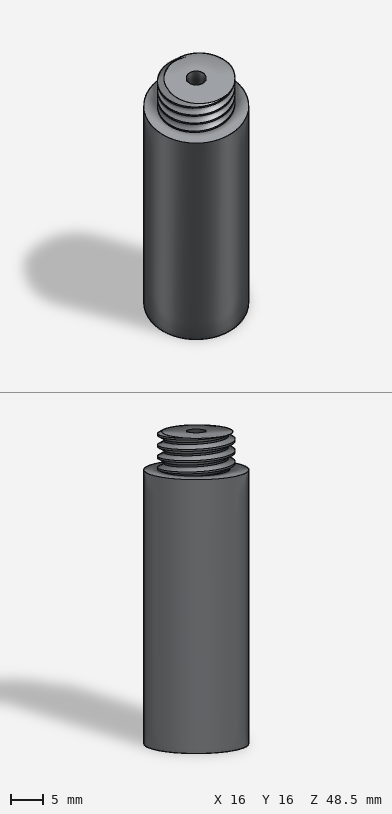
import cadquery as cq
import math

total_length = 48.5
body_diameter = 16.0
stud_length = 6.0
bore_diameter = 3.0

crest_diameter = 11.85
root_diameter = 9.85
pitch = 1.75
crest_width = 0.3
flank_angle = 30.0
crest_height_at_x = 4.0
root_overlap = 0.15

body_length = total_length - stud_length
crest_radius = crest_diameter / 2
root_radius = root_diameter / 2


def make_thread_ridge():
    """Helical ridge that starts below the shoulder and ends above the stud."""
    turns_below = math.ceil(crest_height_at_x / pitch) + 1
    start_height = body_length + crest_height_at_x - turns_below * pitch
    turns = math.ceil((total_length - start_height) / pitch) + 1

    inner_radius = root_radius - root_overlap
    half_crest = crest_width / 2
    half_base = half_crest + (crest_radius - inner_radius) * math.tan(math.radians(flank_angle))

    path = cq.Wire.makeHelix(pitch, turns * pitch, root_radius)
    ridge = (
        cq.Workplane("XZ")
        .polyline([
            (inner_radius, -half_base),
            (crest_radius, -half_crest),
            (crest_radius, half_crest),
            (inner_radius, half_base),
        ])
        .close()
        .sweep(cq.Workplane(obj=path), isFrenet=True)
    )
    return ridge.translate((0, 0, start_height))


def make_stud():
    """Threaded stud, trimmed flat at the shoulder and at the top."""
    stud_base = cq.Workplane("XY").workplane(offset=body_length)
    core = stud_base.circle(root_radius).extrude(stud_length)
    envelope = stud_base.circle(body_diameter / 2).extrude(stud_length)
    return core.union(make_thread_ridge().intersect(envelope))


body = cq.Workplane("XY").circle(body_diameter / 2).extrude(body_length)
bore = cq.Workplane("XY").circle(bore_diameter / 2).extrude(total_length)

result = body.union(make_stud()).cut(bore).solids()